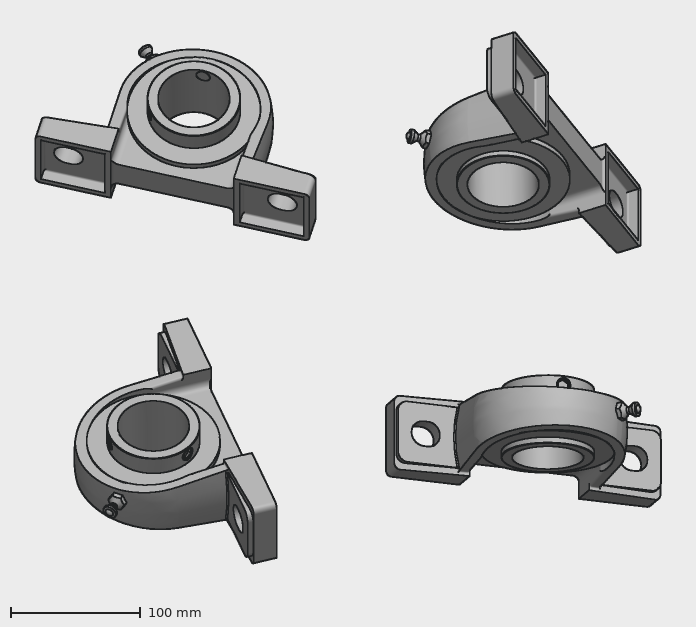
import cadquery as cq
import math


shaft_height = 63.7
bore_radius = 27.5
collar_radius = 36.0
collar_front_z = 33.3
collar_back_z = -22.1
collar_chamfer = 0.5
disc_radius = 51.5
disc_half_thickness = 17.3

housing_radius = 61.3
crown_radius = 105.1
base_half_thickness = 29.5
crest_half_thickness = 15.1
housing_height = shaft_height + housing_radius
web_half_thickness = 12.5
web_fillet = 6.0
rim_fillet = 2.2
base_relief_depth = 2.2

half_length = 109.5
foot_inner_x = 49.0
foot_half_width = 30.0
foot_outer_height = 18.8
foot_inner_height = 23.0
foot_corner_radius = 4.5
pad_height = 23.5
pad_setback = 1.3
pad_end_x = half_length - pad_setback
pad_half_width = 24.5
pad_corner_radius = 7.7
root_fillet = 1.0
bolt_x = 85.5
slot_length = 23.2
slot_width = 20.1

pocket_inner_x = 53.9
pocket_outer_x = 105.0
pocket_half_width = 25.2
pocket_depth = 9.2
pocket_fillet = 1.5

screw_angles = (90, 210)
screw_radius = 5.5
screw_z = 26.0
screw_recess_depth = 1.3
socket_flats = 8.3
socket_depth = 2.2
socket_turn = 30

tolerance = 0.2

nipple_angle = 135
nipple_z = 6.8
hex_flats = 12.5
hex_corner_top = 63.7
nipple_neck_start = 67.9
nipple_neck_end = 69.9
nipple_neck_radius = 2.8
nipple_head_start = 73.8
nipple_head_end = 76.0
nipple_head_radius = 5.5
nipple_dome_radius = 3.3
nipple_dome_start = 76.5
nipple_tip = 78.6


def disc(radius, z_low, z_high):
    """Cylinder on the shaft axis between two Z levels."""
    return (
        cq.Workplane("XY", origin=(0, shaft_height, z_low))
        .circle(radius)
        .extrude(z_high - z_low)
    )


def radial_plane(angle, z, distance):
    """Workplane facing away from the shaft axis at the given angle and distance."""
    direction = (math.cos(math.radians(angle)), math.sin(math.radians(angle)), 0)
    origin = (direction[0] * distance, shaft_height + direction[1] * distance, z)
    return cq.Workplane(cq.Plane(origin=origin, xDir=(0, 0, 1), normal=direction))


def make_housing():
    crown_sag = crown_radius - math.sqrt(crown_radius**2 - base_half_thickness**2)
    edge_x = housing_radius - crown_sag

    half_dome = (
        cq.Workplane("XZ", origin=(0, shaft_height, 0))
        .moveTo(0, -base_half_thickness)
        .lineTo(edge_x, -base_half_thickness)
        .threePointArc((housing_radius, 0), (edge_x, base_half_thickness))
        .lineTo(0, base_half_thickness)
        .close()
        .revolve(360, (0, 0, 0), (0, 1, 0))
    )
    legs = (
        cq.Workplane("XZ", origin=(0, shaft_height, 0))
        .moveTo(-edge_x, -base_half_thickness)
        .lineTo(edge_x, -base_half_thickness)
        .threePointArc((housing_radius, 0), (edge_x, base_half_thickness))
        .lineTo(-edge_x, base_half_thickness)
        .threePointArc((-housing_radius, 0), (-edge_x, -base_half_thickness))
        .close()
        .extrude(shaft_height)
    )
    below_axis = cq.Workplane("XY").box(
        4 * housing_radius, shaft_height, 4 * housing_radius, centered=(True, False, True)
    )
    wedge = (
        cq.Workplane("YZ")
        .polyline(
            [
                (0, -base_half_thickness),
                (housing_height, -crest_half_thickness),
                (housing_height, crest_half_thickness),
                (0, base_half_thickness),
            ]
        )
        .close()
        .extrude(housing_radius, both=True)
    )
    return half_dome.cut(below_axis).union(legs).intersect(wedge)


def make_foot():
    """Right-hand foot with its raised pad."""
    foot = (
        cq.Workplane("XY")
        .polyline(
            [
                (foot_inner_x, 0),
                (half_length, 0),
                (half_length, foot_outer_height),
                (foot_inner_x, foot_inner_height),
            ]
        )
        .close()
        .extrude(foot_half_width, both=True)
        .edges("|Y and >X")
        .fillet(foot_corner_radius)
    )
    pad = (
        cq.Workplane("XY")
        .box(pad_end_x - disc_radius, pad_height, 2 * pad_half_width, centered=(False, False, True))
        .translate((disc_radius, 0, 0))
        .edges("|Y and >X")
        .fillet(pad_corner_radius)
    )
    return foot.union(pad)


def leg_root_edges(solid):
    """Inside edges where the two legs rise from the feet and their pads."""
    root_edges = []
    for edge in solid.edges().vals():
        box = edge.BoundingBox()
        beside_leg = disc_radius - root_fillet < abs(edge.Center().x) < housing_radius
        on_one_side = box.xmin * box.xmax > 0
        at_foot_top = box.ymin > foot_outer_height and box.ymax < pad_height + root_fillet
        if beside_leg and on_one_side and at_foot_top:
            root_edges.append(edge)
    return solid.newObject(root_edges)


def web_recess():
    """Space beside the thin web, between the two legs on the +Z side."""
    return (
        cq.Workplane("XZ")
        .rect(2 * foot_inner_x, 2 * base_half_thickness)
        .extrude(-shaft_height)
        .translate((0, 0, web_half_thickness + base_half_thickness))
        .edges("|Y and <Z")
        .fillet(web_fillet)
    )


def rim_edges(solid):
    """Long top edges of the legs, where they border the web recesses."""
    long_edges = []
    for edge in solid.edges().vals():
        box = edge.BoundingBox()
        on_recess_wall = box.xlen < tolerance and abs(abs(box.center.x) - foot_inner_x) < tolerance
        on_tapered_face = abs(box.center.z) > crest_half_thickness + web_fillet
        if on_recess_wall and on_tapered_face and box.ylen > disc_radius:
            long_edges.append(edge)
    return solid.newObject(long_edges)


def base_relief():
    """Clearance under the web, rounded into the inner faces of the feet."""
    roof_half_length = foot_inner_x - base_relief_depth
    return (
        cq.Workplane("XY")
        .moveTo(-foot_inner_x, 0)
        .lineTo(foot_inner_x, 0)
        .radiusArc((roof_half_length, base_relief_depth), -base_relief_depth)
        .lineTo(-roof_half_length, base_relief_depth)
        .radiusArc((-foot_inner_x, 0), -base_relief_depth)
        .close()
        .extrude(base_half_thickness, both=True)
    )


def foot_openings():
    """Pocket and bolt slot of the right-hand foot."""
    pocket = (
        cq.Workplane("XY")
        .box(
            pocket_outer_x - pocket_inner_x,
            pocket_depth,
            2 * pocket_half_width,
            centered=(False, False, True),
        )
        .translate((pocket_inner_x, 0, 0))
        .faces(">Y")
        .edges()
        .fillet(pocket_fillet)
    )
    slot = (
        cq.Workplane("XZ", origin=(bolt_x, 0, 0))
        .slot2D(slot_length, slot_width)
        .extrude(-pad_height)
    )
    return pocket.union(slot)


def make_collar():
    return (
        disc(collar_radius, collar_back_z, collar_front_z)
        .faces("<Z or >Z")
        .edges()
        .chamfer(collar_chamfer)
    )


def screw_recess(angle):
    """Sunken screw end with its hexagon socket, and the flat screw tip in the bore."""
    screw_end = collar_radius - screw_recess_depth
    outer = radial_plane(angle, screw_z, screw_end).circle(screw_radius).extrude(screw_recess_depth)
    socket = (
        radial_plane(angle, screw_z, screw_end)
        .transformed(rotate=(0, 0, socket_turn))
        .polygon(6, socket_flats, circumscribed=True)
        .extrude(-socket_depth)
    )
    tip = radial_plane(angle, screw_z, 0).circle(screw_radius).extrude(bore_radius)
    return outer.union(socket).union(tip)


def turned_on_nipple_axis(profile):
    return (
        profile.close()
        .revolve(360, (0, 0, 0), (0, 1, 0))
        .rotate((0, 0, 0), (0, 0, 1), nipple_angle - 90)
        .translate((0, shaft_height, nipple_z))
    )


def make_nipple():
    """Hexagon with its corners turned down to a cone, then a neck, a head and a domed tip."""
    hex_corner_radius = hex_flats / math.sqrt(3)
    hexagon = (
        radial_plane(nipple_angle, nipple_z, disc_radius)
        .polygon(6, hex_flats, circumscribed=True)
        .extrude(nipple_neck_start - disc_radius)
    )
    cone = (
        cq.Workplane("XY")
        .moveTo(0, disc_radius)
        .lineTo(hex_corner_radius, disc_radius)
        .lineTo(hex_corner_radius, hex_corner_top)
        .lineTo(nipple_neck_radius, nipple_neck_start)
        .lineTo(0, nipple_neck_start)
    )
    dome_height = nipple_tip - nipple_dome_start
    dome_sphere_radius = (nipple_dome_radius**2 + dome_height**2) / (2 * dome_height)
    head = (
        cq.Workplane("XY")
        .moveTo(0, disc_radius)
        .lineTo(nipple_neck_radius, disc_radius)
        .lineTo(nipple_neck_radius, nipple_neck_end)
        .lineTo(nipple_head_radius, nipple_head_start)
        .lineTo(nipple_head_radius, nipple_head_end)
        .lineTo(nipple_dome_radius, nipple_dome_start)
        .radiusArc((0, nipple_tip), -dome_sphere_radius)
    )
    return turned_on_nipple_axis(cone).intersect(hexagon).union(turned_on_nipple_axis(head))


def with_mirror(solid, plane):
    return solid.union(solid.mirror(plane))


body = make_housing()
body = body.cut(with_mirror(web_recess(), "XY"))
body = rim_edges(body).fillet(rim_fillet)
for z_low, z_high in (
    (disc_half_thickness, base_half_thickness),
    (-base_half_thickness, -disc_half_thickness),
):
    body = body.cut(disc(disc_radius, z_low, z_high))
body = body.cut(base_relief())

body = body.union(with_mirror(make_foot(), "YZ"))
body = leg_root_edges(body).fillet(root_fillet)
body = body.cut(with_mirror(foot_openings(), "YZ"))

body = body.union(disc(disc_radius, -disc_half_thickness, disc_half_thickness))
body = body.union(make_collar())
body = body.union(make_nipple())
body = body.cut(disc(bore_radius, collar_back_z, collar_front_z))
for angle in screw_angles:
    body = body.cut(screw_recess(angle))

result = body